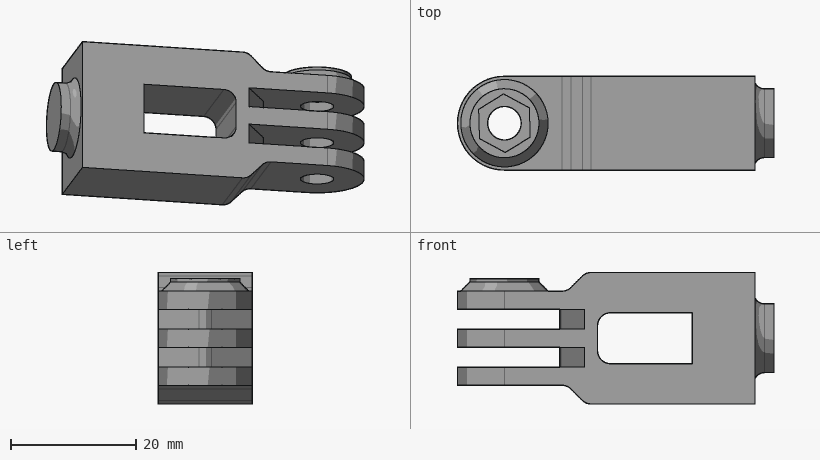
import cadquery as cq
import math

total_length = 50.5
width = 15.0
body_height = 21.0
fork_height = 15.05
boss_length = 3.05
body_end = total_length - boss_length
half_width = width / 2
half_body = body_height / 2
half_fork = fork_height / 2

shoulder_start = 17.5
shoulder_end = shoulder_start + half_body - half_fork
blend_radius = 2.0

slot_inner = 1.45
slot_outer = 4.6
slot_height = slot_outer - slot_inner
slot_depth = 20.3
floor_angle = math.radians(30)
nose_x = slot_depth - half_width * math.tan(floor_angle)

window_start = 22.35
window_end = 37.4
window_height = 8.1

pivot_x = half_width
collar_base_radius = 6.95
collar_radius = 5.5
collar_flare_height = collar_base_radius - collar_radius
collar_rim = 0.5
collar_top = half_fork + collar_flare_height + collar_rim
bore_diameter = 5.3
hex_across_corners = 9.35
hex_depth = 3.4
hex_turn = 1.7

boss_radius = 5.5
boss_root_radius = 6.4
boss_flare_length = boss_length / 2


def make_body():
    """Side profile with blended shoulders, rounded in plan at the fork end."""
    profile = [
        (0, half_fork),
        (shoulder_start, half_fork),
        (shoulder_end, half_body),
        (body_end, half_body),
        (body_end, -half_body),
        (shoulder_end, -half_body),
        (shoulder_start, -half_fork),
        (0, -half_fork),
    ]
    block = cq.Workplane("XZ").polyline(profile).close().extrude(half_width, both=True)
    shoulder_zone = cq.selectors.BoxSelector(
        (shoulder_start - blend_radius, -width, -body_height),
        (shoulder_end + blend_radius, width, body_height),
    )
    block = block.edges("|Y").edges(shoulder_zone).fillet(blend_radius)
    plan = (
        cq.Workplane("XY")
        .moveTo(pivot_x, half_width)
        .threePointArc((0, 0), (pivot_x, -half_width))
        .lineTo(body_end, -half_width)
        .lineTo(body_end, half_width)
        .close()
        .extrude(half_body, both=True)
    )
    return block.intersect(plan)


def make_slot(bottom):
    """Cutter for one fork slot, whose floor is a V with a rounded nose."""
    outline = [
        (0, -half_width),
        (slot_depth, -half_width),
        (nose_x, 0),
        (slot_depth, half_width),
        (0, half_width),
    ]
    slot = (
        cq.Workplane("XY", origin=(0, 0, bottom))
        .polyline(outline)
        .close()
        .extrude(slot_height)
    )
    nose_edge = cq.selectors.NearestToPointSelector((nose_x, 0, bottom + slot_height / 2))
    return slot.edges("|Z").edges(nose_edge).fillet(blend_radius)


def make_window():
    """Cutter for the window, rounded at the fork end only."""
    return (
        cq.Workplane("XY")
        .box(window_end - window_start, width, window_height)
        .edges("|Y and <X")
        .fillet(blend_radius)
        .translate(((window_start + window_end) / 2, 0, 0))
    )


def make_collar():
    """Conical collar with a short straight rim, standing on the fork."""
    return (
        cq.Workplane("XZ", origin=(pivot_x, 0, 0))
        .moveTo(0, half_fork)
        .lineTo(collar_base_radius, half_fork)
        .lineTo(collar_radius, half_fork + collar_flare_height)
        .lineTo(collar_radius, collar_top)
        .lineTo(0, collar_top)
        .close()
        .revolve(360, (0, 0, 0), (0, 1, 0))
    )


def make_boss():
    """Boss about the X axis; its flare arc runs tangent into the cylinder."""
    return (
        cq.Workplane("XY")
        .moveTo(body_end, 0)
        .lineTo(total_length, 0)
        .lineTo(total_length, boss_radius)
        .lineTo(body_end + boss_flare_length, boss_radius)
        .tangentArcPoint((body_end, boss_root_radius), relative=False)
        .close()
        .revolve(360, (0, 0, 0), (1, 0, 0))
    )


def make_pivot_cut():
    """Through bore with a hexagonal nut pocket sunk from the collar top."""
    bore = (
        cq.Workplane("XY", origin=(pivot_x, 0, -half_fork))
        .circle(bore_diameter / 2)
        .extrude(half_fork + collar_top)
    )
    pocket = (
        cq.Workplane("XY", origin=(pivot_x, 0, collar_top - hex_depth))
        .transformed(rotate=(0, 0, 90 + hex_turn))
        .polygon(6, hex_across_corners)
        .extrude(hex_depth)
    )
    return bore.union(pocket)


result = make_body().union(make_collar()).union(make_boss())
for slot_bottom in (slot_inner, -slot_outer):
    result = result.cut(make_slot(slot_bottom))
result = result.cut(make_window()).cut(make_pivot_cut())